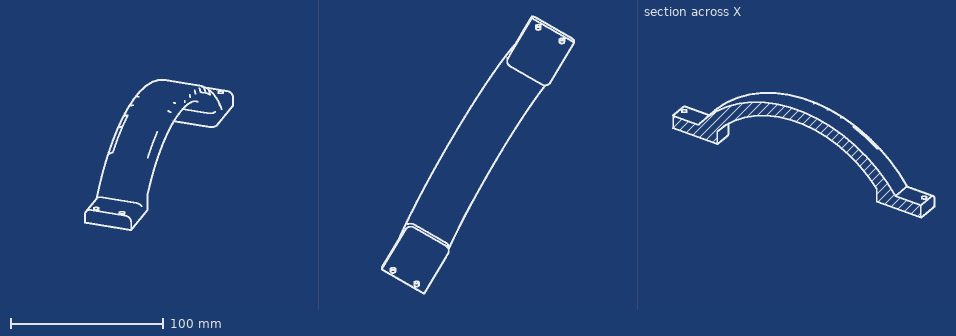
import cadquery as cq

length = 195.0
width = 32.26
height = 49.94
thickness = 10.0
foot_ledge = 20.0
foot_length = 35.0
edge_radius = 4.0
hole_diameter = 3.5
hole_spacing = 18.0
hole_end_distance = 3.2
hole_offset = -0.4
tolerance = 0.01

half_length = length / 2
outer_spring = half_length - foot_ledge
inner_spring = half_length - foot_length


def handle_body():
    """Side outline in the YZ plane, extruded symmetrically across the width."""
    return (
        cq.Workplane("YZ")
        .moveTo(-half_length, 0)
        .lineTo(-half_length, thickness)
        .lineTo(-outer_spring, thickness)
        .threePointArc((0, height), (outer_spring, thickness))
        .lineTo(half_length, thickness)
        .lineTo(half_length, 0)
        .lineTo(inner_spring, 0)
        .lineTo(inner_spring, thickness)
        .threePointArc((0, height - thickness), (-inner_spring, thickness))
        .lineTo(-inner_spring, 0)
        .close()
        .extrude(width / 2, both=True)
    )


def grip_edges(body):
    """Edges of both side faces, leaving out the underside and the outer ends."""
    def is_grip_edge(edge):
        middle = edge.Center()
        above_underside = middle.z > tolerance
        inside_outer_ends = abs(middle.y) < half_length - tolerance
        return above_underside and inside_outer_ends

    return body.faces("<X or >X").edges().filter(is_grip_edge)


def screw_holes():
    """Through holes, one pair near the outer end of each foot."""
    hole_y = half_length - hole_end_distance
    return (
        cq.Workplane("XY")
        .center(hole_offset, 0)
        .rect(hole_spacing, 2 * hole_y, forConstruction=True)
        .vertices()
        .circle(hole_diameter / 2)
        .extrude(thickness)
    )


body = handle_body()
rounded = grip_edges(body).fillet(edge_radius)
result = rounded.cut(screw_holes())